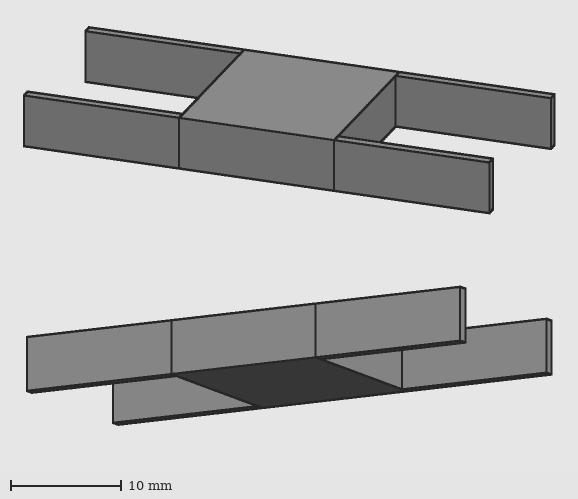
import cadquery as cq

overall_length = 45.0
overall_width = 17.0
height = 5.0

block_length = overall_length / 3
arm_length = (overall_length - block_length) / 2
arm_thickness = 1.0

arm_x = (block_length + arm_length) / 2
arm_y = (overall_width - arm_thickness) / 2


def make_block():
    """Central block, centred on the origin."""
    return cq.Workplane("XY").box(block_length, overall_width, height)


def make_arm(x_side, y_side):
    """Flat arm reaching out along X from one corner of the block."""
    arm = cq.Workplane("XY").box(arm_length, arm_thickness, height)
    return arm.translate((x_side * arm_x, y_side * arm_y, 0))


block = make_block()
arms = [make_arm(x_side, y_side) for x_side in (-1, 1) for y_side in (-1, 1)]

result = cq.Compound.makeCompound([block.val(), *[arm.val() for arm in arms]])